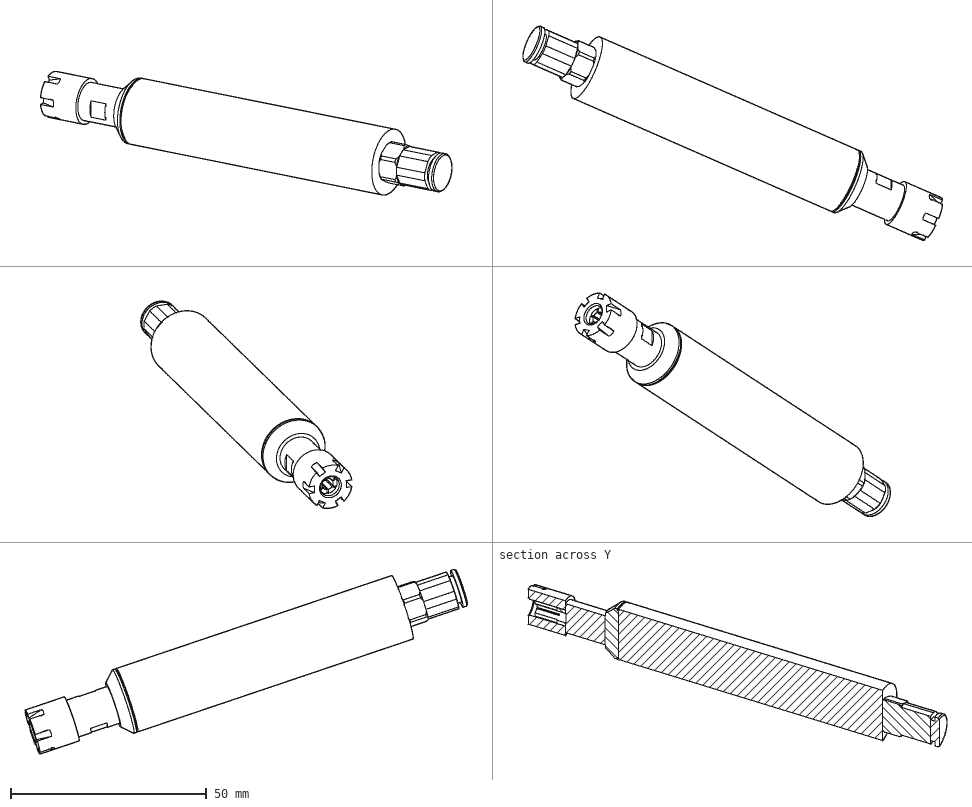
import cadquery as cq
import math

overall_length = 116.0

nut_diameter = 12.0
nut_length = 10.5
nut_mouth_diameter = 6.0
nut_bore_diameter = 5.2
wrench_slot_count = 6
wrench_slot_width = 1.9
wrench_slot_length = 4.0
wrench_slot_floor_radius = 4.4

collet_face_depth = 1.9
collet_bore_diameter = 3.0
collet_slit_count = 6
collet_slit_width = 0.3
collet_slit_end = 8.1

spindle_diameter = 10.0
spindle_flat_start = 14.1
spindle_flat_length = 4.4
spindle_across_flats = 8.9

cap_nose_diameter = 12.0
housing_diameter = 17.2
cap_start = 21.8
cap_cone_length = 2.7
cap_rim_length = 0.7
cap_groove_width = 0.3
cap_groove_diameter = 16.0
housing_end = 100.0

side_count = 6
hex_across_flats = 10.0
hex_corner_diameter = 11.0
hex_end_diameter = 10.3
hex_length = 5.2
hex_chamfer_length = 0.5
barrel_diameter = 10.0
barrel_across_flats = 9.5
barrel_end = 113.5

collar_neck_diameter = 7.2
collar_flange_diameter = 10.0
collar_flange_thickness = 1.3
collar_chamfer = 0.3

cap_end = cap_start + cap_cone_length + cap_rim_length + cap_groove_width


def cylinder(diameter, start, end):
    """Solid cylinder on the X axis from start to end."""
    return cq.Workplane("YZ", origin=(start, 0, 0)).circle(diameter / 2).extrude(end - start)


def revolve_profile(points):
    """Solid of revolution about the X axis from (x, radius) points."""
    return cq.Workplane("XY").polyline(points).close().revolve(360, (0, 0, 0), (1, 0, 0))


def hexagonal_prism(across_flats, start, end, turn=0):
    """Hexagonal prism along X with a corner toward +Y, turned about X by turn degrees."""
    across_corners = across_flats / math.cos(math.pi / side_count)
    prism = cq.Workplane("YZ", origin=(start, 0, 0)).polygon(side_count, across_corners).extrude(end - start)
    return prism.rotate((0, 0, 0), (1, 0, 0), turn)


def make_nut():
    mouth_radius = nut_mouth_diameter / 2
    bore_radius = nut_bore_diameter / 2
    nut_radius = nut_diameter / 2
    nut = revolve_profile([
        (0, mouth_radius),
        (0, nut_radius),
        (nut_length, nut_radius),
        (nut_length, bore_radius),
        (mouth_radius - bore_radius, bore_radius),
    ])
    slot = (
        cq.Workplane("XY", origin=(0, 0, -wrench_slot_width / 2))
        .polyline([
            (0, wrench_slot_floor_radius),
            (wrench_slot_length, nut_radius),
            (wrench_slot_length, nut_diameter),
            (0, nut_diameter),
        ])
        .close()
        .extrude(wrench_slot_width)
    )
    for index in range(wrench_slot_count):
        nut = nut.cut(slot.rotate((0, 0, 0), (1, 0, 0), index * 360 / wrench_slot_count))
    return nut


def make_collet():
    collet = cylinder(nut_bore_diameter, collet_face_depth, nut_length)
    collet = collet.cut(cylinder(collet_bore_diameter, collet_face_depth, nut_length))
    slit = cq.Workplane("XY").box(
        collet_slit_end, nut_bore_diameter, collet_slit_width, centered=(False, False, True)
    )
    for index in range(collet_slit_count):
        collet = collet.cut(slit.rotate((0, 0, 0), (1, 0, 0), (index + 0.5) * 360 / collet_slit_count))
    return collet


def make_spindle():
    spindle = cylinder(spindle_diameter, nut_length, cap_start)
    outside = cq.Workplane("XY").box(
        spindle_flat_length, spindle_diameter, spindle_diameter, centered=(False, False, True)
    ).translate((spindle_flat_start, spindle_across_flats / 2, 0))
    return spindle.cut(outside).cut(outside.mirror("XZ"))


def make_cap():
    groove_start = cap_end - cap_groove_width
    return revolve_profile([
        (cap_start, 0),
        (cap_start, cap_nose_diameter / 2),
        (cap_start + cap_cone_length, housing_diameter / 2),
        (groove_start, housing_diameter / 2),
        (groove_start, cap_groove_diameter / 2),
        (cap_end, cap_groove_diameter / 2),
        (cap_end, 0),
    ])


def make_housing():
    return cylinder(housing_diameter, cap_end, housing_end)


def make_fitting():
    hex_end = housing_end + hex_length
    corner_radius = hex_corner_diameter / 2
    end_radius = hex_end_diameter / 2
    corner_turning = revolve_profile([
        (housing_end, 0),
        (housing_end, end_radius),
        (housing_end + hex_chamfer_length, corner_radius),
        (hex_end - hex_chamfer_length, corner_radius),
        (hex_end, end_radius),
        (hex_end, 0),
    ])
    half_pitch = 180 / side_count
    hexagon = hexagonal_prism(hex_across_flats, housing_end, hex_end, half_pitch).intersect(corner_turning)
    barrel = cylinder(barrel_diameter, hex_end, barrel_end).intersect(
        hexagonal_prism(barrel_across_flats, hex_end, barrel_end)
    )
    return hexagon.union(barrel)


def make_release_collar():
    flange_start = overall_length - collar_flange_thickness
    flange = cylinder(collar_flange_diameter, flange_start, overall_length)
    flange = flange.faces(">X").chamfer(collar_chamfer)
    return cylinder(collar_neck_diameter, barrel_end, flange_start).union(flange)


nut = make_nut()
collet = make_collet()
spindle = make_spindle()
cap = make_cap()
housing = make_housing()
fitting = make_fitting()
collar = make_release_collar()

result = cq.Compound.makeCompound([
    nut.val(), collet.val(), spindle.val(), cap.val(), housing.val(), fitting.val(), collar.val(),
])